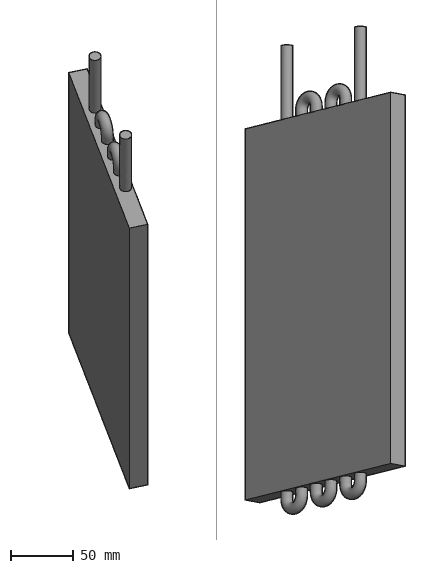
import cadquery as cq

plate_width = 178.0
plate_thickness = 15.5
plate_height = 304.8

tube_diameter = 9.5
tube_radius = tube_diameter / 2
pass_count = 6
pass_span = 90.0
pass_pitch = pass_span / (pass_count - 1)
back_gap = 1.0
tube_y = plate_thickness / 2 - back_gap - tube_radius
pass_xs = [-pass_span / 2 + i * pass_pitch for i in range(pass_count)]

overall_height = 386.0
stub_length = 5.8
bend_radius = pass_pitch / 2
bend_reach = stub_length + bend_radius + tube_radius
port_length = overall_height - plate_height - bend_reach


def make_plate():
    """Plain rectangular plate."""
    return cq.Workplane("XY").box(
        plate_width, plate_thickness, plate_height, centered=(True, True, False)
    )


def make_port_tube(x):
    """Straight round tube standing on the top face of the plate."""
    return (
        cq.Workplane("XY", origin=(x, tube_y, plate_height))
        .circle(tube_radius)
        .extrude(port_length)
    )


def make_return_bend(start_x, face_z, direction):
    """U-bend joining two neighbouring passes; direction is +1 for up and -1 for down."""
    end_x = start_x + pass_pitch
    mid_x = start_x + bend_radius
    bend_start_z = face_z + direction * stub_length
    crown_z = bend_start_z + direction * bend_radius
    path = (
        cq.Workplane("XZ", origin=(0, tube_y, 0))
        .moveTo(start_x, face_z)
        .lineTo(start_x, bend_start_z)
        .threePointArc((mid_x, crown_z), (end_x, bend_start_z))
        .lineTo(end_x, face_z)
    )
    return (
        cq.Workplane("XY", origin=(start_x, tube_y, face_z))
        .circle(tube_radius)
        .sweep(path)
    )


plate = make_plate()

port_tubes = [make_port_tube(x) for x in (pass_xs[0], pass_xs[-1])]

lower_bends = [make_return_bend(x, 0, -1) for x in pass_xs[0:-1:2]]
upper_bends = [make_return_bend(x, plate_height, 1) for x in pass_xs[1:-1:2]]

bodies = [plate, *port_tubes, *lower_bends, *upper_bends]
result = cq.Compound.makeCompound([body.val() for body in bodies])